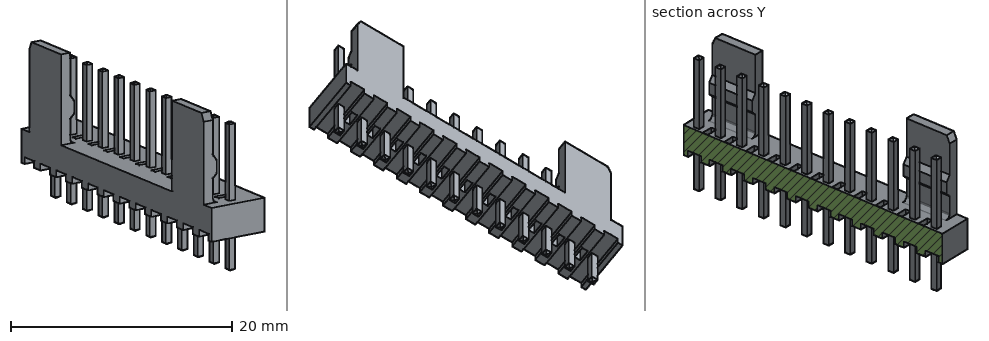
import cadquery as cq

PIN_COUNT = 12
PITCH = 2.54
OVERALL_HEIGHT = 15.26

HOUSING_LENGTH = PIN_COUNT * PITCH
HOUSING_WIDTH = 5.8
HOUSING_HEIGHT = 3.2
CHANNEL_WIDTH = 1.5
CHANNEL_DEPTH = 0.65
WINDOW_LENGTH_X = 0.6
WINDOW_LENGTH_Y = 1.2

PIN_SIZE = 0.64
PIN_TIP_HEIGHT = 0.2
PIN_BOTTOM = -3.5
PIN_HEIGHT_ABOVE_HOUSING = 7.4
PIN_TOP = HOUSING_HEIGHT + PIN_HEIGHT_ABOVE_HOUSING

TAB_WIDTH = 2 * PITCH
TAB_THICKNESS = 1.0
TAB_TOP = OVERALL_HEIGHT + PIN_BOTTOM
TAB_CHAMFER_X = 0.35
TAB_CHAMFER_Z = 0.75
FOOT_FILLET = 0.5
RIDGE_DEPTH = 0.45
RIDGE_HEIGHT_ABOVE_HOUSING = 2.3
RIDGE_BOTTOM = HOUSING_HEIGHT + RIDGE_HEIGHT_ABOVE_HOUSING
RIDGE_LOWER_RAMP = 0.45
RIDGE_FLAT = 1.2
RIDGE_UPPER_RAMP = 0.6

PIN_XS = [(i - (PIN_COUNT - 1) / 2) * PITCH for i in range(PIN_COUNT)]
FRONT_Y = -HOUSING_WIDTH / 2


def make_housing():
    """Block with a cross channel under each pin and a window between neighbouring pins."""
    housing = cq.Workplane("XY").box(
        HOUSING_LENGTH, HOUSING_WIDTH, HOUSING_HEIGHT, centered=(True, True, False)
    )
    channels = (
        cq.Workplane("XY")
        .pushPoints([(x, 0) for x in PIN_XS])
        .rect(CHANNEL_WIDTH, HOUSING_WIDTH)
        .extrude(CHANNEL_DEPTH)
    )
    windows = (
        cq.Workplane("XY")
        .pushPoints([(x + PITCH / 2, 0) for x in PIN_XS[:-1]])
        .rect(WINDOW_LENGTH_X, WINDOW_LENGTH_Y)
        .extrude(HOUSING_HEIGHT)
    )
    return housing.cut(channels).cut(windows)


def pin_prism(plane):
    """Pin silhouette, pointed at both ends, extruded across the pin."""
    half = PIN_SIZE / 2
    outline = [
        (0, PIN_BOTTOM),
        (half, PIN_BOTTOM + PIN_TIP_HEIGHT),
        (half, PIN_TOP - PIN_TIP_HEIGHT),
        (0, PIN_TOP),
        (-half, PIN_TOP - PIN_TIP_HEIGHT),
        (-half, PIN_BOTTOM + PIN_TIP_HEIGHT),
    ]
    return cq.Workplane(plane).polyline(outline).close().extrude(half, both=True)


def make_pin():
    """Square pin with a pyramid at each end, where two crossed prisms overlap."""
    return pin_prism("XZ").intersect(pin_prism("YZ"))


def make_left_tab():
    """Upright tab with a latch ridge, a filleted foot and a sloped outer top corner."""
    inner_y = FRONT_Y + TAB_THICKNESS
    ridge_y = inner_y + RIDGE_DEPTH
    flat_bottom = RIDGE_BOTTOM + RIDGE_LOWER_RAMP
    flat_top = flat_bottom + RIDGE_FLAT
    left = PIN_XS[0]
    tab = (
        cq.Workplane("YZ", origin=(left, 0, 0))
        .moveTo(FRONT_Y, HOUSING_HEIGHT)
        .lineTo(inner_y + FOOT_FILLET, HOUSING_HEIGHT)
        .radiusArc((inner_y, HOUSING_HEIGHT + FOOT_FILLET), FOOT_FILLET)
        .lineTo(inner_y, RIDGE_BOTTOM)
        .lineTo(ridge_y, flat_bottom)
        .lineTo(ridge_y, flat_top)
        .lineTo(inner_y, flat_top + RIDGE_UPPER_RAMP)
        .lineTo(inner_y, TAB_TOP)
        .lineTo(FRONT_Y, TAB_TOP)
        .close()
        .extrude(TAB_WIDTH)
    )
    corner = (
        cq.Workplane("XZ", origin=(0, inner_y, 0))
        .moveTo(left, TAB_TOP)
        .lineTo(left + TAB_CHAMFER_X, TAB_TOP)
        .lineTo(left, TAB_TOP - TAB_CHAMFER_Z)
        .close()
        .extrude(TAB_THICKNESS)
    )
    return tab.cut(corner)


left_tab = make_left_tab()
right_tab = left_tab.mirror("YZ")
result = make_housing().union(left_tab).union(right_tab)

pin = make_pin()
for pin_x in PIN_XS:
    result = result.union(pin.translate((pin_x, 0, 0)))